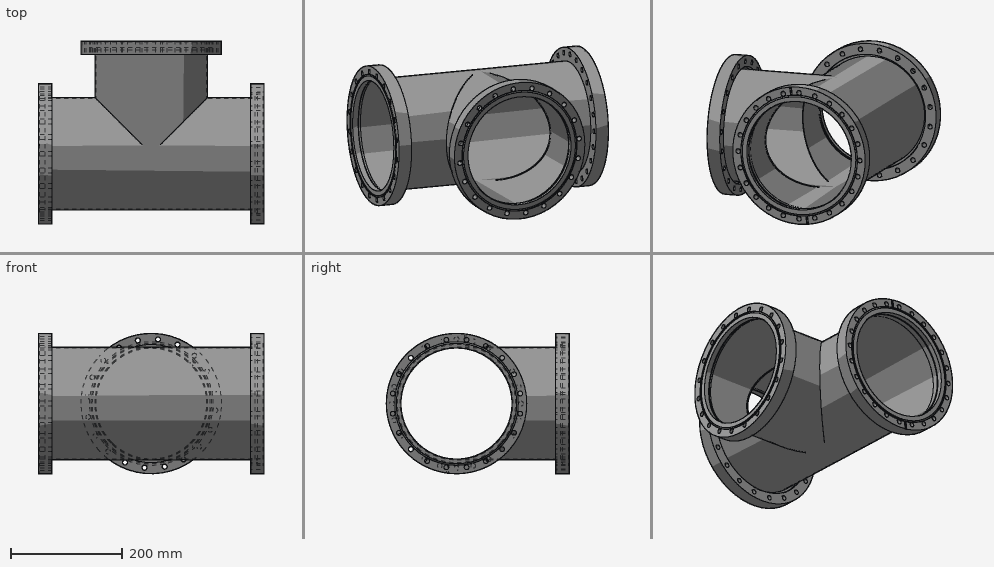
import cadquery as cq

half_run = 203.0

tube_radius = 101.5
bore_radius = 100.0

flange_diameter = 253.0
flange_radius = flange_diameter / 2
flange_thickness = 24.5
weld_shoulder_depth = 11.8
bolt_circle_radius = 116.2
bolt_hole_diameter = 8.5
fixed_bolt_count = 24
rotatable_bolt_count = 20
branch_ring_turn = 15.0

recess_radius = 111.5
recess_depth = 1.5
knife_radius = 108.5
knife_height = 1.2

groove_width = 3.0
groove_depth = 1.2
groove_count = 2
groove_angle = 90 + 180 / fixed_bolt_count

insert_radius = 106.5
insert_back = 8.0
lip_thickness = 10.0

tube_end = half_run - weld_shoulder_depth
shoulder = flange_thickness - weld_shoulder_depth
recess_floor = flange_thickness - recess_depth
lip_back = recess_floor - lip_thickness

flange_back = half_run - flange_thickness
left_end = cq.Plane(origin=(-flange_back, 0, 0), xDir=(0, -1, 0), normal=(-1, 0, 0))
right_end = cq.Plane(origin=(flange_back, 0, 0), xDir=(0, 1, 0), normal=(1, 0, 0))
branch_end = cq.Plane(origin=(0, flange_back, 0), xDir=(-1, 0, 0), normal=(0, 1, 0))


def disc(radius, bottom, top):
    return cq.Workplane("XY").workplane(offset=bottom).circle(radius).extrude(top - bottom)


def drill_bolt_holes(body, count, first_angle):
    holes = (
        cq.Workplane("XY")
        .polarArray(bolt_circle_radius, first_angle, 360, count)
        .circle(bolt_hole_diameter / 2)
        .extrude(flange_thickness)
    )
    return body.cut(holes)


def bore_with_socket(body):
    """Cut the through bore and the wider socket that receives the tube end."""
    body = body.cut(disc(bore_radius, 0, flange_thickness))
    return body.cut(disc(tube_radius, 0, shoulder))


def knife_edge():
    """Raised seat whose sloped outer flank forms the knife edge."""
    return (
        cq.Workplane("XZ")
        .moveTo(bore_radius, recess_floor)
        .lineTo(recess_radius, recess_floor)
        .lineTo(knife_radius, recess_floor + knife_height)
        .lineTo(bore_radius, recess_floor + knife_height)
        .close()
        .revolve(360, (0, 0), (0, 1))
    )


def cut_leak_grooves(body):
    groove_length = flange_radius - recess_radius
    grooves = (
        cq.Workplane("XY").workplane(offset=flange_thickness - groove_depth)
        .polarArray(recess_radius + groove_length / 2, groove_angle, 360, groove_count)
        .rect(2 * groove_length, groove_width)
        .extrude(groove_depth)
        .cut(disc(recess_radius, 0, flange_thickness))
    )
    return body.cut(grooves)


def make_tee_tube():
    def tee(radius):
        run = cq.Workplane("YZ").workplane(offset=-tube_end).circle(radius).extrude(2 * tube_end)
        branch = cq.Workplane("XZ").circle(radius).extrude(-tube_end)
        return run.union(branch)

    return tee(tube_radius).cut(tee(bore_radius))


def make_fixed_flange():
    flange = disc(flange_radius, 0, flange_thickness)
    flange = drill_bolt_holes(flange, fixed_bolt_count, 0)
    flange = flange.cut(disc(recess_radius, recess_floor, flange_thickness))
    flange = cut_leak_grooves(flange)
    return bore_with_socket(flange.union(knife_edge()))


def make_rotatable_ring(turn):
    ring = disc(flange_radius, 0, flange_thickness)
    half_pitch = 180 / rotatable_bolt_count
    ring = drill_bolt_holes(ring, rotatable_bolt_count, half_pitch + turn)
    ring = ring.cut(disc(insert_radius, 0, flange_thickness))
    return ring.cut(disc(recess_radius, lip_back, flange_thickness))


def make_weld_insert():
    hub = disc(insert_radius, insert_back, recess_floor)
    lip = disc(recess_radius, lip_back, recess_floor)
    return bore_with_socket(hub.union(lip).union(knife_edge()))


def place(body, plane):
    return body.val().moved(plane.location)


tee_tube = make_tee_tube().val()
fixed_flange = place(make_fixed_flange(), left_end)

rotatable_flanges = []
for plane, turn in ((right_end, 0), (branch_end, branch_ring_turn)):
    rotatable_flanges.append(place(make_rotatable_ring(turn), plane))
    rotatable_flanges.append(place(make_weld_insert(), plane))

result = cq.Compound.makeCompound([tee_tube, fixed_flange, *rotatable_flanges])